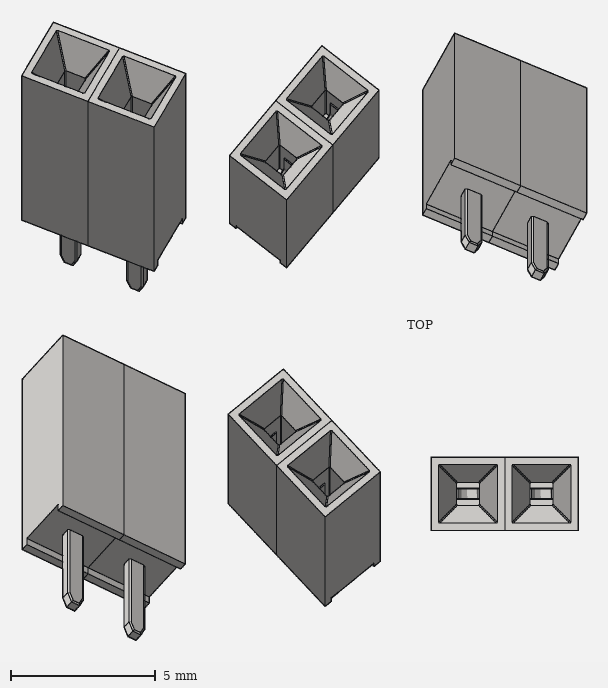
import cadquery as cq
import math

CELL_COUNT = 2
CELL_SIZE = 2.54
TOTAL_HEIGHT = 11.7
PIN_LENGTH = 3.2
HOUSING_HEIGHT = TOTAL_HEIGHT - PIN_LENGTH

CHANNEL_DEPTH = 0.3
FOOT_WIDTH = 0.29
CHANNEL_WIDTH = CELL_SIZE - 2 * FOOT_WIDTH

FUNNEL_TOP_SIZE = 2.04
SHAFT_SIZE = 0.8
FUNNEL_DEPTH = 1.24
SHAFT_DEPTH = 2.92
SOCKET_CORNER_BEVEL = 0.04
SHAFT_FLOOR_Z = TOTAL_HEIGHT - FUNNEL_DEPTH - SHAFT_DEPTH

CONTACT_THICKNESS = 0.39
PIN_WIDTH = 0.65
TIP_WIDTH = 0.34
TIP_HEIGHT = 0.37
SLOT_WIDTH = 0.7
PRONG_ROOT_DEPTH = 0.12
FORK_WIDTH = SHAFT_SIZE + 2 * PRONG_ROOT_DEPTH
FORK_BASE_HEIGHT = 0.47
SADDLE_HEIGHT = 0.23
PRONG_HEIGHT = 1.75

BEVEL_ON_FACE = 0.07
BEVEL_ON_EDGE = 0.04


def socket_outline(size, height=0.0):
    """Horizontal square with bevelled corners, at a height above its workplane."""
    outline = cq.Sketch().rect(size, size).vertices().chamfer(SOCKET_CORNER_BEVEL)
    return outline.moved(cq.Location(cq.Vector(0, 0, height)))


def make_socket():
    """Funnel and shaft volume to be removed from the housing."""
    funnel = (
        cq.Workplane("XY", origin=(0, 0, SHAFT_FLOOR_Z + SHAFT_DEPTH))
        .placeSketch(socket_outline(SHAFT_SIZE), socket_outline(FUNNEL_TOP_SIZE, FUNNEL_DEPTH))
        .loft(ruled=True)
    )
    shaft = (
        cq.Workplane("XY", origin=(0, 0, SHAFT_FLOOR_Z))
        .placeSketch(socket_outline(SHAFT_SIZE))
        .extrude(SHAFT_DEPTH)
    )
    return funnel.union(shaft)


def make_housing():
    """Square block with a channel underneath and an open socket on top."""
    block = cq.Workplane("XY", origin=(0, 0, PIN_LENGTH)).box(
        CELL_SIZE, CELL_SIZE, HOUSING_HEIGHT, centered=(True, True, False)
    )
    channel = cq.Workplane("XY", origin=(0, 0, PIN_LENGTH)).box(
        CELL_SIZE, CHANNEL_WIDTH, CHANNEL_DEPTH, centered=(True, True, False)
    )
    return block.cut(channel).cut(make_socket())


def contact_outline(y):
    """Closed outline of the contact in the XZ plane at the given Y."""
    fork_bottom_z = SHAFT_FLOOR_Z - FORK_BASE_HEIGHT
    prong_top_z = SHAFT_FLOOR_Z + PRONG_HEIGHT
    slot_bottom_z = SHAFT_FLOOR_Z + SADDLE_HEIGHT
    slot_arc_z = slot_bottom_z + SLOT_WIDTH / 2
    return (
        cq.Workplane("XZ", origin=(0, y, 0))
        .moveTo(-TIP_WIDTH / 2, 0)
        .lineTo(TIP_WIDTH / 2, 0)
        .lineTo(PIN_WIDTH / 2, TIP_HEIGHT)
        .lineTo(PIN_WIDTH / 2, fork_bottom_z)
        .lineTo(FORK_WIDTH / 2, fork_bottom_z)
        .lineTo(FORK_WIDTH / 2, prong_top_z)
        .lineTo(SLOT_WIDTH / 2, prong_top_z)
        .lineTo(SLOT_WIDTH / 2, slot_arc_z)
        .threePointArc((0, slot_bottom_z), (-SLOT_WIDTH / 2, slot_arc_z))
        .lineTo(-SLOT_WIDTH / 2, prong_top_z)
        .lineTo(-FORK_WIDTH / 2, prong_top_z)
        .lineTo(-FORK_WIDTH / 2, fork_bottom_z)
        .lineTo(-PIN_WIDTH / 2, fork_bottom_z)
        .lineTo(-PIN_WIDTH / 2, TIP_HEIGHT)
        .close()
    )


def make_contact():
    """Flat pin and fork, cut from one sheet with all outline edges bevelled."""
    core_thickness = CONTACT_THICKNESS - 2 * BEVEL_ON_EDGE
    bevel_taper = math.degrees(math.atan2(BEVEL_ON_FACE, BEVEL_ON_EDGE))
    core = contact_outline(0).extrude(core_thickness / 2, both=True)
    front_layer = contact_outline(-core_thickness / 2).extrude(BEVEL_ON_EDGE, taper=bevel_taper)
    back_layer = front_layer.mirror("XZ")
    return core.union(front_layer).union(back_layer)


def make_connector_cell():
    """One cell of the connector: housing and contact as a single solid."""
    return make_housing().union(make_contact())


cells = []
for index in range(CELL_COUNT):
    offset = (index - (CELL_COUNT - 1) / 2) * CELL_SIZE
    cells.append(make_connector_cell().translate((offset, 0, 0)))

result = cq.Compound.makeCompound([cell.val() for cell in cells])